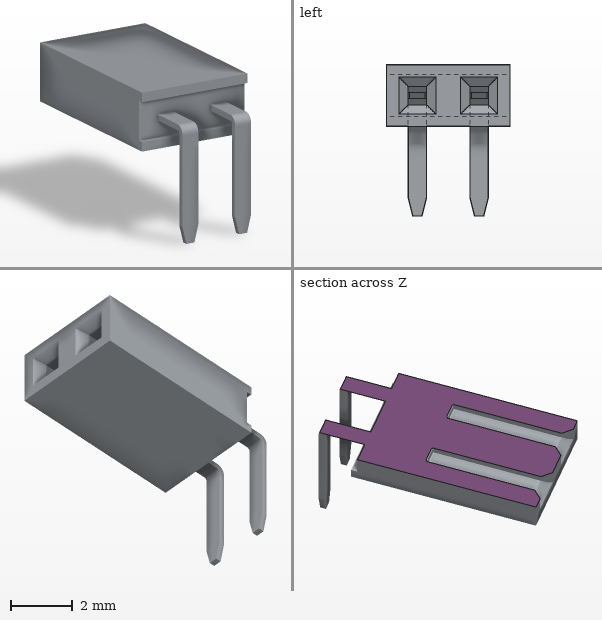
import cadquery as cq

overall_length = 7.72
overall_height = 4.9

contact_count = 2
body_length = 6.35
body_width = 4.0
body_height = 2.0
pitch = body_width / contact_count
rear_notch_depth = 0.2
rear_wall = 0.325

pin_width = 0.6
pin_thickness = 0.2
bend_inner_radius = 0.1
bend_outer_radius = bend_inner_radius + pin_thickness
tip_width = pin_width / 2
tip_length = 0.6

mouth_size = 1.2
socket_size = pin_width
funnel_depth = (mouth_size - socket_size) / 2
socket_depth = 4.0
lead_in = 0.05

body_top = body_height / 2
notch_x = body_length - rear_notch_depth
pin_bottom = body_top - overall_height
contact_places = [(i - (contact_count - 1) / 2) * pitch for i in range(contact_count)]


def make_housing():
    """Block with a groove running along Y across its rear face."""
    body = cq.Workplane("XY").box(body_length, body_width, body_height, centered=(False, True, True))
    notch_height = body_height - 2 * rear_wall
    notch = (
        cq.Workplane("XY")
        .box(rear_notch_depth, body_width, notch_height, centered=(False, True, True))
        .translate((notch_x, 0, 0))
    )
    return body.cut(notch)


def make_socket(y):
    """Funnel, square hole and the shallow bevelled seat of the contact in the hole's floor."""
    funnel = (
        cq.Workplane("YZ", origin=(0, y, 0))
        .rect(mouth_size, mouth_size)
        .workplane(offset=funnel_depth)
        .rect(socket_size, socket_size)
        .loft(combine=True)
    )
    hole = cq.Workplane("YZ", origin=(0, y, 0)).rect(socket_size, socket_size).extrude(socket_depth)
    seat = (
        cq.Workplane("YZ", origin=(socket_depth, y, 0))
        .rect(socket_size, pin_thickness)
        .workplane(offset=lead_in)
        .rect(socket_size - 2 * lead_in, pin_thickness)
        .loft(combine=True)
    )
    return funnel.union(hole).union(seat)


def make_pin(y):
    """Flat strip leaving the rear groove, bent down, with its tip narrowed across Y."""
    pin_top = pin_thickness / 2
    inner_x = overall_length - pin_thickness
    strip = (
        cq.Workplane("XZ")
        .moveTo(notch_x, pin_top)
        .lineTo(overall_length - bend_outer_radius, pin_top)
        .radiusArc((overall_length, pin_top - bend_outer_radius), bend_outer_radius)
        .lineTo(overall_length, pin_bottom)
        .lineTo(inner_x, pin_bottom)
        .lineTo(inner_x, -pin_top - bend_inner_radius)
        .radiusArc((inner_x - bend_inner_radius, -pin_top), -bend_inner_radius)
        .lineTo(notch_x, -pin_top)
        .close()
        .extrude(pin_width / 2, both=True)
    )
    shoulder = pin_bottom + tip_length
    silhouette = (
        cq.Workplane("YZ", origin=(notch_x, 0, 0))
        .polyline(
            [
                (-pin_width / 2, pin_top),
                (pin_width / 2, pin_top),
                (pin_width / 2, shoulder),
                (tip_width / 2, pin_bottom),
                (-tip_width / 2, pin_bottom),
                (-pin_width / 2, shoulder),
            ]
        )
        .close()
        .extrude(overall_length - notch_x)
    )
    return strip.intersect(silhouette).translate((0, y, 0))


result = make_housing()
for contact_y in contact_places:
    result = result.cut(make_socket(contact_y)).union(make_pin(contact_y))